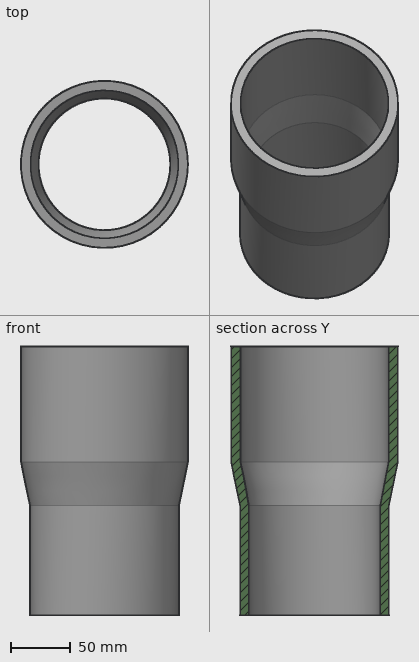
import cadquery as cq

total_length = 225.0
spigot_length = 92.2
taper_length = 36.0
taper_top = spigot_length + taper_length

upper_outer_diameter = 140.0
upper_bore_diameter = 123.8
lower_outer_diameter = 125.0
lower_bore_diameter = 110.0


def stepped_body(lower_diameter, upper_diameter):
    """Solid of revolution: narrow cylinder, conical taper, wide cylinder."""
    lower_radius = lower_diameter / 2
    upper_radius = upper_diameter / 2
    return (
        cq.Workplane("XZ")
        .moveTo(0, 0)
        .lineTo(lower_radius, 0)
        .lineTo(lower_radius, spigot_length)
        .lineTo(upper_radius, taper_top)
        .lineTo(upper_radius, total_length)
        .lineTo(0, total_length)
        .close()
        .revolve(360, (0, 0, 0), (0, 1, 0))
    )


outside = stepped_body(lower_outer_diameter, upper_outer_diameter)
bore = stepped_body(lower_bore_diameter, upper_bore_diameter)
result = outside.cut(bore)